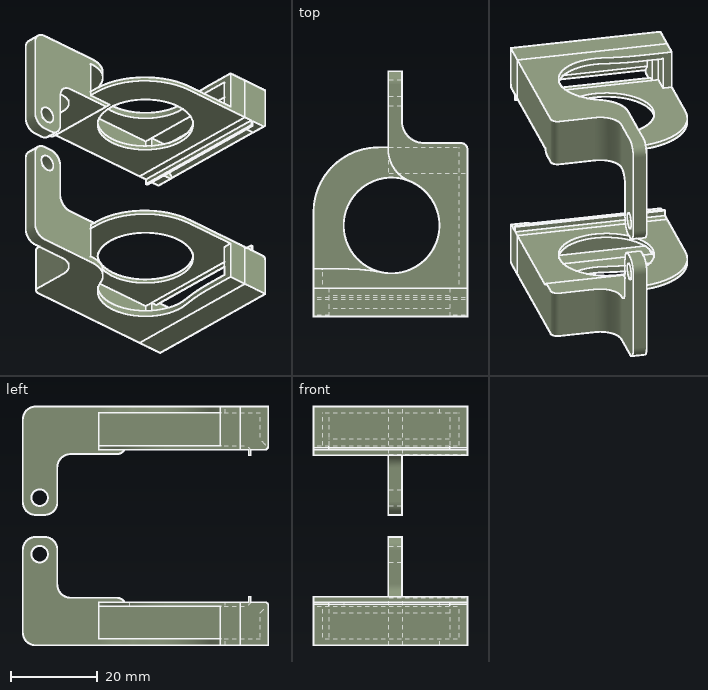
import cadquery as cq
import math

total_height = 55.0
width = 35.5
body_height = 10.0
bar_depth = 6.5
body_back = 40.0
cavity_back = 39.0
back_corner_radius = 1.6
outer_wall = 1.5
inner_wall = 1.0
cavity_side_wall = 2.1
post_back = 11.0

window_x = 18.0
window_y = 21.0
window_radius = 11.0

plate_corner_radius = 15.0

neck_radius = 8.0
lead_in_radius = 45.0

arm_left = 17.2
arm_thickness = 3.2
arm_right = arm_left + arm_thickness
arm_back = 56.5
arm_height = 25.0
arm_width = 8.0
arm_front = arm_back - arm_width
arm_corner_radius = 3.0
arm_root_radius = 5.0
hinge_diameter = 3.75
hinge_y = 52.6
hinge_z = arm_height - arm_width / 2

tongue_top = 11.0
tongue_rise = tongue_top - body_height
tongue_front = 33.0
tongue_edge_radius = 2.0

bar_chamfer = 0.5
bar_front_wall = 2.0
pocket_left = 3.6
pocket_right = 31.4
lip_front = 4.0
rib_thickness = 0.5
rib_top = 11.25


def block(x0, x1, y0, y1, z0, z1):
    """Box between the given limits."""
    return cq.Workplane("XY").box(x1 - x0, y1 - y0, z1 - z0, centered=False).translate((x0, y0, z0))


def side_profile(points, x0, x1):
    """Prism with a (y, z) outline that runs from x0 to x1."""
    return cq.Workplane("YZ", origin=(x0, 0, 0)).polyline(points).close().extrude(x1 - x0)


def on_circle(center_x, center_y, radius, angle):
    """Point of a circle at an angle counted from +X."""
    return (center_x + radius * math.cos(angle), center_y + radius * math.sin(angle))


def nearest_to(x, y, z):
    """Selector for the edge whose centre is nearest to a point."""
    return cq.selectors.NearestToPointSelector((x, y, z))


def make_outer_plate():
    """Open C around the window, blended into it by an arc at each end."""
    neck_reach = window_radius + neck_radius
    neck_x = arm_left + neck_radius
    neck_angle = math.acos((neck_x - window_x) / neck_reach)
    neck_y = window_y + neck_reach * math.sin(neck_angle)

    lead_reach = window_radius + lead_in_radius
    lead_y = post_back - lead_in_radius
    lead_angle = math.asin((window_y - lead_y) / lead_reach)
    lead_x = window_x - lead_reach * math.cos(lead_angle)

    window_right = (window_x + window_radius, window_y)
    lead_middle = on_circle(lead_x, lead_y, lead_in_radius, (math.pi / 2 + lead_angle) / 2)
    lead_end = on_circle(lead_x, lead_y, lead_in_radius, lead_angle)
    neck_start = on_circle(window_x, window_y, window_radius, neck_angle)
    neck_middle = on_circle(neck_x, neck_y, neck_radius, neck_angle / 2 + math.pi)

    return (
        cq.Workplane("XY")
        .moveTo(0, bar_depth)
        .lineTo(0, post_back)
        .lineTo(lead_x, post_back)
        .threePointArc(lead_middle, lead_end)
        .threePointArc(window_right, neck_start)
        .threePointArc(neck_middle, (arm_left, neck_y))
        .lineTo(arm_left, cavity_back)
        .lineTo(width, cavity_back)
        .lineTo(width, bar_depth)
        .close()
        .extrude(outer_wall)
    )


def make_inner_plate():
    """Plate with one large rounded corner and the full round window."""
    bottom = body_height - inner_wall
    plate = block(0, width, bar_depth, cavity_back, bottom, body_height)
    plate = plate.edges("|Z and <X and >Y").fillet(plate_corner_radius)
    window = cq.Workplane("XY").center(window_x, window_y).circle(window_radius).extrude(body_height)
    return plate.cut(window)


def make_back_wall():
    """Back wall whose top runs forward as the tongue with a sloped front end."""
    wall = side_profile(
        [
            (cavity_back, 0),
            (cavity_back, body_height),
            (tongue_front, body_height),
            (tongue_front + tongue_rise, tongue_top),
            (body_back, tongue_top),
            (body_back, 0),
        ],
        arm_left,
        width,
    )
    tongue_edge = nearest_to((arm_left + width) / 2, tongue_front + tongue_rise, tongue_top)
    return wall.edges(tongue_edge).fillet(tongue_edge_radius)


def make_arm():
    """L-shaped arm that stands behind the back wall, with its hinge hole."""
    arm = side_profile(
        [
            (cavity_back, 0),
            (arm_back, 0),
            (arm_back, arm_height),
            (arm_front, arm_height),
            (arm_front, tongue_top),
            (cavity_back, tongue_top),
        ],
        arm_left,
        arm_right,
    )
    arm = arm.edges("|X and (>Y or >Z)").fillet(arm_corner_radius)
    inner_corner = nearest_to((arm_left + arm_right) / 2, arm_front, tongue_top)
    arm = arm.edges(inner_corner).fillet(arm_corner_radius)
    hinge_hole = (
        cq.Workplane("YZ", origin=(arm_left, hinge_y, hinge_z))
        .circle(hinge_diameter / 2)
        .extrude(arm_thickness)
    )
    return arm.cut(hinge_hole)


def make_arm_root():
    """Concave round between the arm and the back wall."""
    round_x = arm_right + arm_root_radius
    round_y = body_back + arm_root_radius
    root = block(arm_right, round_x, body_back, round_y, 0, tongue_top)
    round_cut = cq.Workplane("XY").center(round_x, round_y).circle(arm_root_radius).extrude(tongue_top)
    return root.cut(round_cut)


def make_bracket():
    """Hollow window bracket with its arm; open on the left behind the post."""
    post = block(0, cavity_side_wall, bar_depth, post_back, 0, body_height)
    right_wall = block(width - cavity_side_wall, width, bar_depth, cavity_back, 0, body_height)
    bracket = make_outer_plate().union(make_inner_plate()).union(post).union(right_wall)
    bracket = bracket.union(make_back_wall()).union(make_arm()).union(make_arm_root())
    back_corner = nearest_to(width, body_back, tongue_top / 2)
    return bracket.edges(back_corner).fillet(back_corner_radius)


def make_front_bar():
    """Bar with a pocket that opens to the bracket and through a slanted slot."""
    bar = block(0, width, 0, bar_depth, 0, body_height)
    bar = bar.edges("|X and <Y and >Z").chamfer(bar_chamfer)
    lip_bottom = body_height - inner_wall
    pocket = side_profile(
        [
            (bar_front_wall, outer_wall),
            (bar_depth, outer_wall),
            (bar_depth, lip_bottom),
            (lip_front + inner_wall, lip_bottom),
            (lip_front, body_height),
            (-bar_chamfer, body_height),
            (bar_front_wall, body_height - bar_chamfer - bar_front_wall),
        ],
        pocket_left,
        pocket_right,
    )
    rib = block(0, width, lip_front, lip_front + rib_thickness, body_height, rib_top)
    return bar.cut(pocket).union(rib)


def both_halves(body):
    """The lower body and its mirror image in the upper half."""
    middle = (0, 0, total_height / 2)
    return [body.val(), body.mirror("XY", middle).val()]


brackets = both_halves(make_bracket())
front_bars = both_halves(make_front_bar())
result = cq.Compound.makeCompound([*brackets, *front_bars])